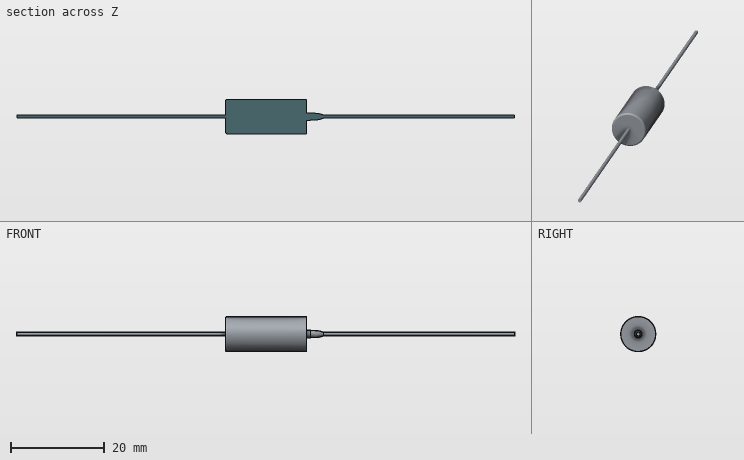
import cadquery as cq
import math

overall_length = 106.2
body_diameter = 7.5
body_start = -8.6
body_end = 8.7
body_edge_radius = 0.4
lead_diameter = 0.8

collar_diameter = 1.7
collar_length = 0.8
tube_diameter = 1.55
tube_length = 0.9
tip_length = 1.9


def rod(start_x, length, diameter):
    """Solid cylinder along X, beginning at start_x."""
    return cq.Workplane("YZ", origin=(start_x, 0, 0)).circle(diameter / 2).extrude(length)


def make_body():
    """Case with its -X rim rounded and its +X rim left sharp."""
    case = rod(body_start, body_end - body_start, body_diameter)
    return case.faces("<X").edges().fillet(body_edge_radius)


def make_lead():
    """Single wire running through the case from end to end."""
    return rod(-overall_length / 2, overall_length, lead_diameter)


def make_tip(start_x):
    """Solder tip that leaves the tube smoothly and curves down to the wire."""
    tube_radius = tube_diameter / 2
    lead_radius = lead_diameter / 2
    end_x = start_x + tip_length
    drop = tube_radius - lead_radius
    arc_radius = (tip_length**2 + drop**2) / (2 * drop)
    mid_offset = tip_length / 2
    mid_radius = tube_radius - arc_radius + math.sqrt(arc_radius**2 - mid_offset**2)
    profile = (
        cq.Workplane("XY")
        .moveTo(start_x, 0)
        .lineTo(start_x, tube_radius)
        .threePointArc((start_x + mid_offset, mid_radius), (end_x, lead_radius))
        .lineTo(end_x, 0)
        .close()
    )
    return profile.revolve(360, (0, 0, 0), (1, 0, 0))


def make_seal():
    """Collar, tube and solder tip stacked outward from the +X face."""
    collar_end = body_end + collar_length
    collar = rod(body_end, collar_length, collar_diameter)
    tube = rod(collar_end, tube_length, tube_diameter)
    return collar.union(tube).union(make_tip(collar_end + tube_length))


result = make_body().union(make_seal()).union(make_lead())